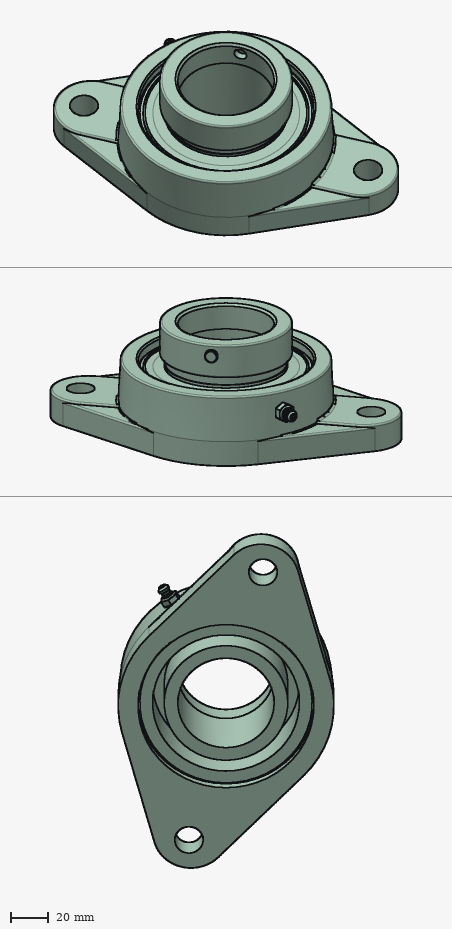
import cadquery as cq
import math

LENGTH = 189.0
WIDTH = 114.0
END_RADIUS = 20.0
BOLT_SPACING = 157.2
BOLT_DIAMETER = 15.0
PLATE_HEIGHT = 14.0
PAD_HEIGHT = 15.3
FLANGE_FILLET = 1.0
BOSS_TOP_DIAMETER = 111.5
BOSS_HEIGHT = 39.0
BOSS_FILLET = 1.0
PAD_COVE = 1.1
WING_COVE = 0.5
WING_COVE_SPAN = 83.2

BORE_DIAMETER = 50.8
HOUSING_BORE = 92.8
HOUSING_CHAMFER = 1.0
FACE_DEPTH = 4.5
RING_CHAMFER = 1.0
RACE_BORE = 77.5
SHIELD_DIAMETER = 87.7
SHIELD_THICKNESS = 2.3
SHIELD_CHAMFER = 1.1
LIP_RISE = 0.4
INNER_RING_DIAMETER = 65.2
SPIGOT_DIAMETER = 59.3
SPIGOT_TOP = 45.7

COLLAR_DIAMETER = 70.0
COLLAR_TOP = 60.0
COLLAR_BOTTOM = 41.4
COLLAR_FILLET = 1.0
COLLAR_BORE_CHAMFER = 1.3
NECK_DIAMETER = 64.5
NECK_BOTTOM = 36.5
SCREW_DIAMETER = 6.8
SCREW_HEIGHT = 53.7
SCREW_INNER_END = 29.3
SCREW_OUTER_END = 36.7
SCREW_CHAMFER = 0.4

NIPPLE_ANGLE = 135.0
NIPPLE_HEIGHT = 27.4
STEM_START = 51.0
STEM_DIAMETER = 6.0
HEX_START = 56.0
HEX_END = 59.7
HEX_FLATS = 8.9
HEX_TURN = 30.0
SHOULDER_END = 60.7
SHOULDER_DIAMETER = 6.8
NECK_BASE_END = 61.8
NECK_BASE_DIAMETER = 5.3
NECK_END = 63.1
NIPPLE_NECK_DIAMETER = 4.7
HEAD_DIAMETER = 6.0
HEAD_SHOULDER = 0.5
TIP_START = 65.0
TIP_END = 66.3
TIP_DIAMETER = 3.8
TIP_HOLE_DIAMETER = 2.3
TIP_HOLE_DEPTH = 1.0

END_CENTER = LENGTH / 2 - END_RADIUS
PAD_FLAT_WIDTH = 2 * (END_RADIUS - FLANGE_FILLET)
FACE_HEIGHT = BOSS_HEIGHT - FACE_DEPTH
BEARING_BOTTOM = FACE_DEPTH


def cylinder(diameter, bottom, top):
    return cq.Workplane("XY").workplane(offset=bottom).circle(diameter / 2).extrude(top - bottom)


def revolve_profile(points):
    """Revolve a closed (radius, height) outline about the Z axis."""
    return cq.Workplane("XZ").polyline(points).close().revolve(360, (0, 0, 0), (0, 1, 0))


def make_plate():
    """Flange wings: end arcs with sides tangent to the foot of the boss, joined by chords inside it."""
    tangent_sine = (WIDTH / 2 - END_RADIUS) / END_CENTER
    tangent_cosine = math.sqrt(1 - tangent_sine**2)
    side_x = WIDTH / 2 * tangent_sine
    side_y = WIDTH / 2 * tangent_cosine
    end_x = END_CENTER + END_RADIUS * tangent_sine
    end_y = END_RADIUS * tangent_cosine
    return (
        cq.Workplane("XY")
        .moveTo(side_x, side_y)
        .lineTo(end_x, end_y)
        .threePointArc((LENGTH / 2, 0), (end_x, -end_y))
        .lineTo(side_x, -side_y)
        .lineTo(-side_x, -side_y)
        .lineTo(-end_x, -end_y)
        .threePointArc((-LENGTH / 2, 0), (-end_x, end_y))
        .lineTo(-side_x, side_y)
        .close()
        .extrude(PLATE_HEIGHT)
        .faces(">Z")
        .edges()
        .fillet(FLANGE_FILLET)
    )


def make_pad():
    """Raised strip that carries both bolt holes."""
    pad = cq.Workplane("XY").slot2D(LENGTH, 2 * END_RADIUS).extrude(PAD_HEIGHT)
    return pad.faces(">Z").edges().fillet(FLANGE_FILLET)


def make_boss():
    """Tapered boss."""
    foot = WIDTH / 2
    boss = revolve_profile(
        [
            (0, 0),
            (foot, 0),
            (foot, PLATE_HEIGHT),
            (BOSS_TOP_DIAMETER / 2, BOSS_HEIGHT),
            (0, BOSS_HEIGHT),
        ]
    )
    return boss.faces(">Z").edges().fillet(BOSS_FILLET)


def make_cove(floor, radius, span):
    """Concave fillet between the boss and a flat floor, limited to a strip of the given Y span."""
    foot = WIDTH / 2
    ring = (
        cq.Workplane("XZ")
        .moveTo(foot - radius, floor)
        .lineTo(foot + radius, floor)
        .radiusArc((foot, floor + radius), radius)
        .lineTo(foot - radius, floor + radius)
        .close()
        .revolve(360, (0, 0, 0), (0, 1, 0))
    )
    return ring.intersect(cq.Workplane("XY").box(LENGTH, span, 2 * BOSS_HEIGHT))


def make_housing(nipple):
    """Flanged housing with a chamfered bearing bore, bolt holes and a recess for the nipple."""
    bore_radius = HOUSING_BORE / 2
    bore = revolve_profile(
        [
            (0, 0),
            (bore_radius, 0),
            (bore_radius, BOSS_HEIGHT - HOUSING_CHAMFER),
            (bore_radius + HOUSING_CHAMFER, BOSS_HEIGHT),
            (0, BOSS_HEIGHT),
        ]
    )
    bolt_holes = (
        cq.Workplane("XY")
        .pushPoints([(-BOLT_SPACING / 2, 0), (BOLT_SPACING / 2, 0)])
        .circle(BOLT_DIAMETER / 2)
        .extrude(PAD_HEIGHT)
    )
    body = make_plate().union(make_pad()).union(make_boss())
    body = body.union(make_cove(PLATE_HEIGHT, WING_COVE, WING_COVE_SPAN))
    body = body.union(make_cove(PAD_HEIGHT, PAD_COVE, PAD_FLAT_WIDTH))
    return body.cut(bore).cut(bolt_holes).cut(nipple)


def make_outer_ring():
    """Outer race with a recess in its upper face for the shield."""
    ring = cylinder(HOUSING_BORE, BEARING_BOTTOM, FACE_HEIGHT)
    ring = ring.faces("<Z or >Z").edges().chamfer(RING_CHAMFER)
    ring = ring.cut(cylinder(RACE_BORE, BEARING_BOTTOM, FACE_HEIGHT))
    return ring.cut(cylinder(SHIELD_DIAMETER, FACE_HEIGHT - SHIELD_THICKNESS, FACE_HEIGHT))


def make_shield():
    """Flat shield whose inner lip rises in a shallow cone to the inner ring."""
    bottom = FACE_HEIGHT - SHIELD_THICKNESS
    inner = INNER_RING_DIAMETER / 2
    outer = SHIELD_DIAMETER / 2
    return revolve_profile(
        [
            (inner, bottom),
            (outer, bottom),
            (outer, FACE_HEIGHT - SHIELD_CHAMFER),
            (outer - SHIELD_CHAMFER, FACE_HEIGHT),
            (RACE_BORE / 2, FACE_HEIGHT),
            (inner, FACE_HEIGHT + LIP_RISE),
        ]
    )


def make_inner_ring():
    """Inner race with a spigot that enters the collar."""
    ring = cylinder(INNER_RING_DIAMETER, BEARING_BOTTOM, NECK_BOTTOM)
    ring = ring.union(cylinder(SPIGOT_DIAMETER, NECK_BOTTOM, SPIGOT_TOP))
    return ring.cut(cylinder(BORE_DIAMETER, BEARING_BOTTOM, SPIGOT_TOP))


def make_set_screw():
    """Radial screw that stands a little proud of the collar on the +Y side."""
    screw = (
        cq.Workplane("XZ", origin=(0, SCREW_INNER_END, SCREW_HEIGHT))
        .circle(SCREW_DIAMETER / 2)
        .extrude(SCREW_INNER_END - SCREW_OUTER_END)
    )
    return screw.faces(">Y").edges().chamfer(SCREW_CHAMFER)


def make_collar():
    """Locking collar with a neck, a spigot recess and a radial screw hole."""
    collar = cylinder(COLLAR_DIAMETER, COLLAR_BOTTOM, COLLAR_TOP).edges().fillet(COLLAR_FILLET)
    collar = collar.union(cylinder(NECK_DIAMETER, NECK_BOTTOM, COLLAR_TOP - COLLAR_FILLET))
    collar = collar.cut(cylinder(BORE_DIAMETER, NECK_BOTTOM, COLLAR_TOP))
    collar = collar.faces(">Z").edges("%CIRCLE").edges(cq.selectors.RadiusNthSelector(0))
    collar = collar.chamfer(COLLAR_BORE_CHAMFER)
    collar = collar.cut(cylinder(SPIGOT_DIAMETER, NECK_BOTTOM, SPIGOT_TOP))
    screw_hole = (
        cq.Workplane("XZ", origin=(0, 0, SCREW_HEIGHT))
        .circle(SCREW_DIAMETER / 2)
        .extrude(-COLLAR_DIAMETER / 2)
    )
    return collar.cut(screw_hole)


def make_nipple():
    """Grease nipple built along Z from the bearing axis, then laid radially into the boss."""
    neck = NIPPLE_NECK_DIAMETER / 2
    neck_base = NECK_BASE_DIAMETER / 2
    head = HEAD_DIAMETER / 2
    stem = cylinder(STEM_DIAMETER, STEM_START, HEX_START)
    hexagon = (
        cq.Workplane("XY")
        .workplane(offset=HEX_START)
        .transformed(rotate=(0, 0, HEX_TURN))
        .polygon(6, HEX_FLATS, circumscribed=True)
        .extrude(HEX_END - HEX_START)
    )
    fitting = revolve_profile(
        [
            (0, HEX_END),
            (HEX_FLATS / 2, HEX_END),
            (SHOULDER_DIAMETER / 2, SHOULDER_END),
            (neck_base, SHOULDER_END),
            (neck_base, NECK_BASE_END),
            (neck, NECK_BASE_END),
            (neck, NECK_END),
            (head, NECK_END + HEAD_SHOULDER),
            (head, TIP_START),
            (TIP_DIAMETER / 2, TIP_END),
            (0, TIP_END),
        ]
    )
    nipple = stem.union(hexagon).union(fitting)
    nipple = nipple.cut(cylinder(TIP_HOLE_DIAMETER, TIP_END - TIP_HOLE_DEPTH, TIP_END))
    return (
        nipple.rotate((0, 0, 0), (0, 1, 0), 90)
        .rotate((0, 0, 0), (0, 0, 1), NIPPLE_ANGLE)
        .translate((0, 0, NIPPLE_HEIGHT))
    )


nipple = make_nipple()
housing = make_housing(nipple)
outer_ring = make_outer_ring()
shield = make_shield()
inner_ring = make_inner_ring()
collar = make_collar()
set_screw = make_set_screw()

result = cq.Compound.makeCompound(
    [
        housing.val(),
        outer_ring.val(),
        shield.val(),
        inner_ring.val(),
        collar.val(),
        set_screw.val(),
        nipple.val(),
    ]
)